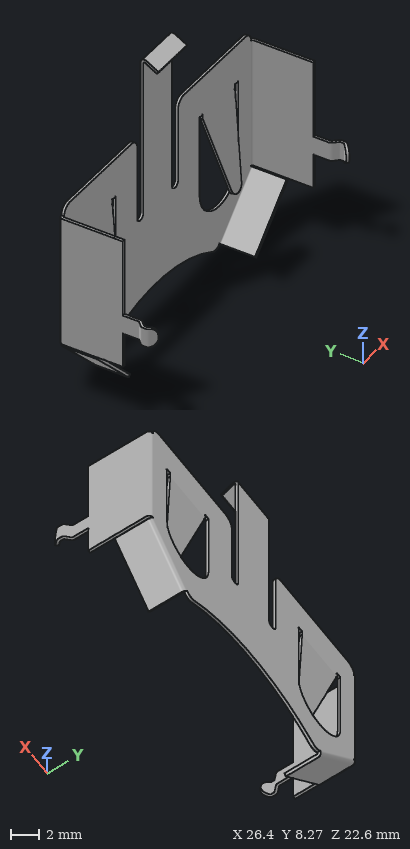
import cadquery as cq
import math

sheet = 0.25
inner_bend = 0.1
outer_bend = inner_bend + sheet
mid_bend = inner_bend + sheet / 2

overall_width = 26.42
clip_width = 25.47
plate_half = clip_width / 2 - outer_bend
shoulder_top = 16.2
shoulder_radius = 0.8
wall_bottom = 4.45
arch_radius = 15.0
arch_top = 1.98
foot_radius = 0.7

arm_width = 3.8
arm_top = 22.62
slot_width = 0.8
slot_bottom = 8.8
hook_turn = 120
hook_length = 1.14

window_x = 8.1
window_width = 5.13
window_top = 12.9
window_bottom = 3.57
tongue_width = 4.28
tongue_bend_z = 12.47
tongue_length = 7.35
tongue_tip_radius = 0.65
tongue_tilt = 12.5

wall_top = shoulder_top - shoulder_radius
wall_depth = 5.35
tab_z = 8.15
tab_width = 1.59
tab_bend = 45
tab_bend_start = 6.65
tab_step = (overall_width - clip_width) / 2
tab_bends_step = 2 * mid_bend * (1 - math.cos(math.radians(tab_bend)))
tab_ramp = (tab_step - tab_bends_step) / math.sin(math.radians(tab_bend))
tab_crest = 0.25
tab_tip = 0.65
tab_tip_radius = 0.7

flange_length = 5.92
flange_depth = 3.15


def shift(point, distance, heading):
    """Point moved by a distance along a heading in degrees."""
    angle = math.radians(heading)
    return (point[0] + distance * math.cos(angle), point[1] + distance * math.sin(angle))


def folded_strip(root, outward, width, legs):
    """Strip that leaves the plate at root = (x, z) along outward = (x, z).

    Each leg is (straight length, bend after it in degrees); a positive bend
    turns an outgoing strip toward the front. The root is at mid width.
    """
    direction = cq.Vector(outward[0], 0, outward[1])
    plane = cq.Plane((root[0], 0, root[1]), direction, direction.cross(cq.Vector(0, 1, 0)))
    point = (0, -sheet / 2)
    heading = 0
    start = (point, heading)
    runs = []
    for length, bend in legs:
        if length > 0:
            point = shift(point, length, heading)
            runs.append((None, (point, heading)))
        if bend != 0:
            half_chord = 2 * mid_bend * math.sin(math.radians(abs(bend)) / 4)
            chord = 2 * mid_bend * math.sin(math.radians(abs(bend)) / 2)
            middle = (shift(point, half_chord, heading - bend / 4), heading - bend / 2)
            point = shift(point, chord, heading - bend / 2)
            heading -= bend
            runs.append((middle, (point, heading)))

    def on_face(station, side):
        return shift(station[0], sheet / 2, station[1] + side * 90)

    back, front = 1, -1
    outline = cq.Workplane(plane).moveTo(*on_face(start, back))
    for middle, end in runs:
        if middle is None:
            outline = outline.lineTo(*on_face(end, back))
        else:
            outline = outline.threePointArc(on_face(middle, back), on_face(end, back))
    outline = outline.lineTo(*on_face(runs[-1][1], front))
    ends = [start] + [end for _, end in runs]
    for (middle, _), target in zip(reversed(runs), reversed(ends[:-1])):
        if middle is None:
            outline = outline.lineTo(*on_face(target, front))
        else:
            outline = outline.threePointArc(on_face(middle, front), on_face(target, front))
    return outline.close().extrude(width / 2, both=True)


def front_sketch():
    """Plane of the plate's back face; extruding goes toward the front."""
    return cq.Workplane("XZ")


def block(x, width, bottom, top):
    """Flat piece of sheet in the plane of the plate."""
    return front_sketch().center(x, (bottom + top) / 2).rect(width, top - bottom).extrude(sheet)


def disc(x, z, radius):
    return front_sketch().center(x, z).circle(radius).extrude(sheet)


def plate():
    """Flat plate with rounded shoulders, arched bottom edge and arm notch."""
    slant_tip = wall_bottom - plate_half
    body = (
        front_sketch()
        .polyline([
            (-plate_half, shoulder_top),
            (plate_half, shoulder_top),
            (plate_half, wall_bottom),
            (0, slant_tip),
            (-plate_half, wall_bottom),
        ])
        .close()
        .extrude(sheet)
        .cut(disc(0, arch_top - arch_radius, arch_radius))
    )
    notch_width = arm_width + 2 * slot_width
    body = body.cut(block(0, notch_width, slot_bottom + slot_width / 2, shoulder_top))
    body = body.edges("|Y").edges(">Z").fillet(shoulder_radius)
    return body.edges("|Y").edges("<Z").fillet(foot_radius)


def arm():
    """Centre arm whose top is folded forward and down into a hook."""
    root_z = slot_bottom + slot_width / 2
    straight = arm_top - outer_bend - root_z
    return folded_strip((0, root_z), (0, 1), arm_width, [(straight, hook_turn), (hook_length, 0)])


def window(x):
    radius = window_width / 2
    spring_line = window_bottom + radius
    return block(x, window_width, spring_line, window_top).union(disc(x, spring_line, radius))


def tongue(x):
    """Tapered tongue with a round tip, hanging in a window and tilted forward."""
    half = tongue_width / 2
    radius = tongue_tip_radius
    to_centre = tongue_length - radius
    taper = math.atan2(half, to_centre) - math.asin(radius / math.hypot(half, to_centre))
    tangent_x = radius * math.cos(taper)
    tangent_z = -to_centre - radius * math.sin(taper)
    blade = (
        front_sketch()
        .center(x, tongue_bend_z)
        .moveTo(-half, 0)
        .lineTo(half, 0)
        .lineTo(tangent_x, tangent_z)
        .threePointArc((0, -tongue_length), (-tangent_x, tangent_z))
        .close()
        .extrude(sheet)
        .rotate((x, 0, tongue_bend_z), (x + 0.26, 0, tongue_bend_z), -tongue_tilt)
    )
    return blade.union(block(x, tongue_width, tongue_bend_z, window_top))


def left_wall():
    height = wall_top - wall_bottom
    root = (-plate_half, wall_bottom + height / 2)
    return folded_strip(root, (-1, 0), height, [(0, 90), (wall_depth - outer_bend, 0)])


def left_tab():
    """Snap tab that runs on from the wall, steps outward and returns inward."""
    legs = [
        (0, 90),
        (tab_bend_start - outer_bend, -tab_bend),
        (tab_ramp, tab_bend),
        (tab_crest, tab_bend),
        (tab_tip, 0),
    ]
    tab = folded_strip((-plate_half, tab_z), (-1, 0), tab_width, legs)
    return tab.faces("<Y").edges("not |Z").fillet(tab_tip_radius)


def left_flange():
    """Flange folded forward along the slanted lower edge of the plate."""
    half_run = flange_length / 2 * math.sqrt(0.5)
    root = (-plate_half + half_run, wall_bottom - half_run)
    return folded_strip(root, (-1, -1), flange_length, [(0, 90), (flange_depth - outer_bend, 0)])


result = plate().union(arm())
for side in (-1, 1):
    slot_x = side * (arm_width + slot_width) / 2
    result = result.cut(disc(slot_x, slot_bottom + slot_width / 2, slot_width / 2))
    result = result.cut(window(side * window_x)).union(tongue(side * window_x))

for left_part in (left_wall(), left_tab(), left_flange()):
    result = result.union(left_part).union(left_part.mirror("YZ"))